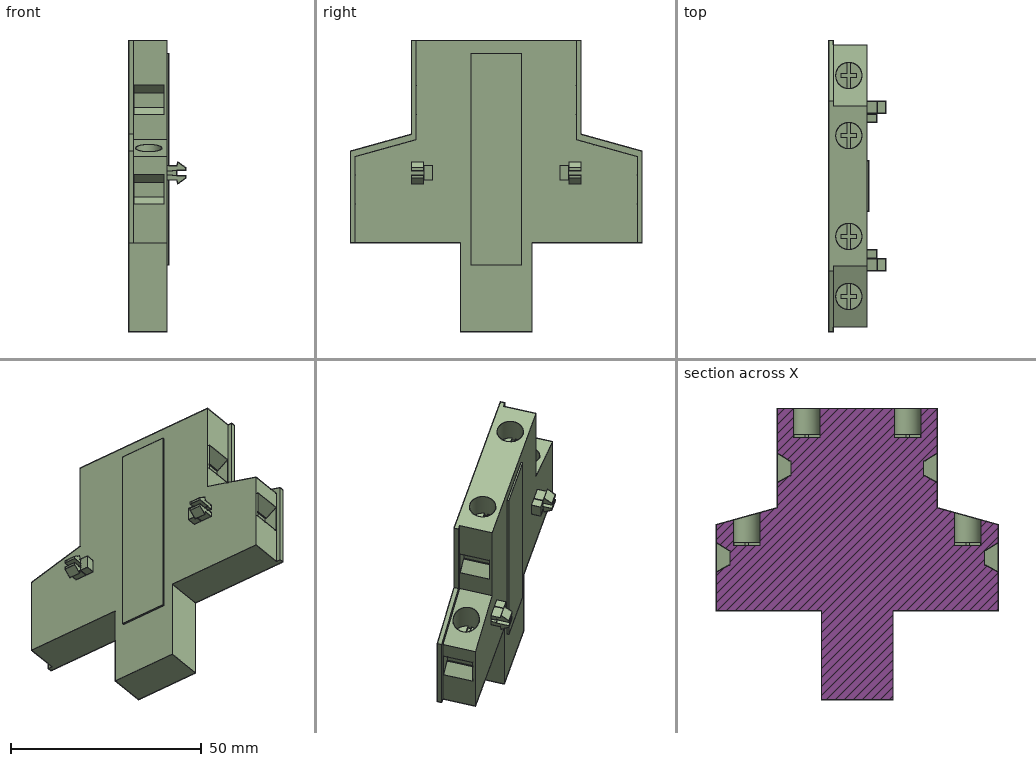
import cadquery as cq

height = 76.5
body_thickness = 10.1
plate_thickness = 1.2

half_width = 38.25
half_upper_width = 22.25
half_stem_width = 9.4
shoulder_inner_z = 51.9
shoulder_outer_z = 47.4
stem_height = 23.3

side_setback = 1.2
shoulder_drop = 1.45

screw_x = 5.3
upper_screw_y = 13.2
lower_screw_y = 29.0
well_diameter = 6.9
well_depth = 6.9
long_slot_width = 0.9
cross_slot_width = 1.0
cross_slot_length = 4.1
slot_depth = 0.8

funnel_x_min = 1.4
funnel_x_max = 9.3
funnel_mouth_height = 7.7
funnel_throat_height = 3.8
funnel_floor_rise = 1.8
funnel_depth = 3.3
throat_depth = 0.3
upper_funnel_z = 57.0
lower_funnel_z = 33.5

label_thickness = 0.45
half_label_width = 6.65
label_z_min = 17.5
label_z_max = 73.05

hook_z = 41.7
hook_y_outer = 22.25
hook_width = 3.2
hook_tip_x = 15.0
barb_base_x = 12.6
barb_peak_x = 12.85
hook_half_height = 1.875
barb_half_height = 2.9
tip_half_height = 1.4
gap_half_height = 0.7
root_gap_half_height = 0.5
root_end_x = 11.55
stop_width = 2.2
stop_gap = 0.15


def cross_body(thickness, setback, drop):
    """Shouldered cross outline, standing on its stem, extruded from the X = 0 face."""
    half_outline = [
        (half_stem_width, 0),
        (half_stem_width, stem_height),
        (half_width - setback, stem_height),
        (half_width - setback, shoulder_outer_z - drop),
        (half_upper_width - setback, shoulder_inner_z - drop),
        (half_upper_width - setback, height),
    ]
    mirrored = [(-y, z) for y, z in reversed(half_outline)]
    return cq.Workplane("YZ").polyline(half_outline + mirrored).close().extrude(thickness)


def both_sides(shape):
    """The shape together with its mirror image across the Y = 0 plane."""
    return shape.union(shape.mirror("XZ"))


def screw_well(y, opening_z):
    """Vertical well with a slotted-and-crossed screw head at its floor."""
    floor_z = opening_z - well_depth
    radius = well_diameter / 2
    well = cq.Workplane("XY", origin=(screw_x, y, floor_z)).circle(radius).extrude(height - floor_z)
    slot_plane = cq.Workplane("XY", origin=(screw_x, y, floor_z))
    head = slot_plane.circle(radius).extrude(-slot_depth)
    long_slot = slot_plane.rect(long_slot_width, well_diameter).extrude(-slot_depth)
    cross_slot = slot_plane.rect(cross_slot_length, cross_slot_width).extrude(-slot_depth)
    return well.union(long_slot.intersect(head)).union(cross_slot)


def wire_funnel(face_y, bottom_z):
    """Wire entry in the side face at face_y: sloped floor and ceiling, ending in a flat throat."""
    throat_y = face_y - funnel_depth
    end_y = throat_y - throat_depth
    throat_bottom = bottom_z + funnel_floor_rise
    throat_top = throat_bottom + funnel_throat_height
    profile = [
        (face_y, bottom_z),
        (throat_y, throat_bottom),
        (end_y, throat_bottom),
        (end_y, throat_top),
        (throat_y, throat_top),
        (face_y, bottom_z + funnel_mouth_height),
    ]
    plane = cq.Workplane("YZ", origin=(funnel_x_min, 0, 0))
    return plane.polyline(profile).close().extrude(funnel_x_max - funnel_x_min)


def snap_hook():
    """Pair of barbed prongs with a plain stop block beside them."""
    prong_outline = [
        (body_thickness, root_gap_half_height),
        (root_end_x, root_gap_half_height),
        (root_end_x, gap_half_height),
        (hook_tip_x, gap_half_height),
        (hook_tip_x, tip_half_height),
        (barb_peak_x, barb_half_height),
        (barb_base_x, hook_half_height),
        (body_thickness, hook_half_height),
    ]
    plane = cq.Workplane("XZ", origin=(0, hook_y_outer, hook_z))
    prong = plane.polyline(prong_outline).close().extrude(hook_width)
    lower_prong = prong.mirror("XY", (0, 0, hook_z))
    stop_y_max = hook_y_outer - hook_width - stop_gap
    stop = cq.Workplane("XY").box(
        barb_base_x - body_thickness, stop_width, 2 * hook_half_height, centered=(False, False, True)
    ).translate((body_thickness, stop_y_max - stop_width, hook_z))
    return prong.union(lower_prong).union(stop)


plate = cross_body(plate_thickness, 0, 0)
block = cross_body(body_thickness, side_setback, shoulder_drop)
body = plate.union(block)

lower_well_opening_z = (shoulder_inner_z + shoulder_outer_z) / 2 - shoulder_drop
cutters = [
    screw_well(upper_screw_y, height),
    screw_well(lower_screw_y, lower_well_opening_z),
    wire_funnel(half_upper_width - side_setback, upper_funnel_z),
    wire_funnel(half_width - side_setback, lower_funnel_z),
]
for cutter in cutters:
    body = body.cut(both_sides(cutter))

label = cq.Workplane("XY").box(
    label_thickness, 2 * half_label_width, label_z_max - label_z_min, centered=(False, True, False)
).translate((body_thickness, 0, label_z_min))

result = body.union(label).union(both_sides(snap_hook()))